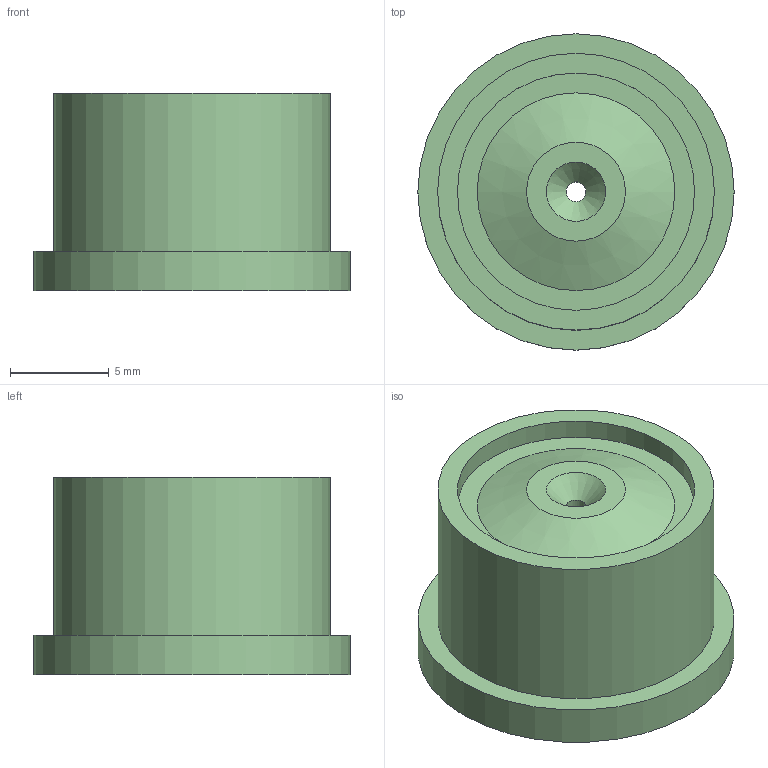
import cadquery as cq

flange_diameter = 16.0
flange_height = 2.0
body_diameter = 14.0
total_height = 10.0

recess_diameter = 12.0
recess_depth = 1.0

boss_base_diameter = 10.0
boss_top_diameter = 5.0

hole_diameter = 1.0
mouth_diameter = 3.0
mouth_depth = 1.0

recess_floor_z = total_height - recess_depth
mouth_bottom_z = total_height - mouth_depth


def turned_body():
    """Revolve the half section, as (radius, z) points, around the Z axis."""
    half_section = [
        (hole_diameter / 2, 0),
        (flange_diameter / 2, 0),
        (flange_diameter / 2, flange_height),
        (body_diameter / 2, flange_height),
        (body_diameter / 2, total_height),
        (recess_diameter / 2, total_height),
        (recess_diameter / 2, recess_floor_z),
        (boss_base_diameter / 2, recess_floor_z),
        (boss_top_diameter / 2, total_height),
        (mouth_diameter / 2, total_height),
        (hole_diameter / 2, mouth_bottom_z),
    ]
    profile = cq.Workplane("XZ").polyline(half_section).close()
    return profile.revolve(360, (0, 0, 0), (0, 1, 0))


result = turned_body()